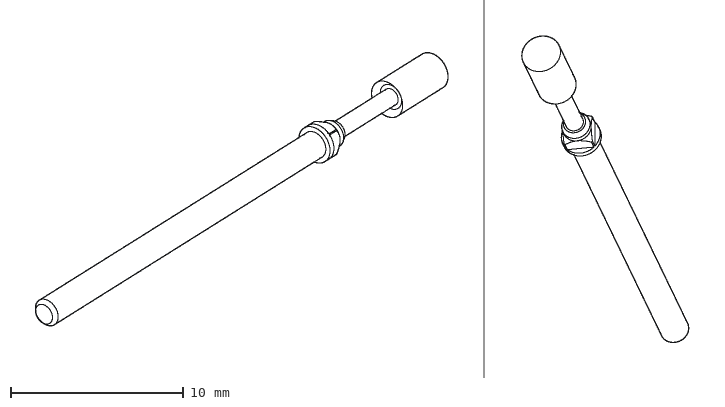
import cadquery as cq

total_length = 36.6

barrel_radius = 0.85
barrel_end = 25.47
tail_chamfer_length = 0.25
tail_chamfer_depth = 0.22
cap_joint = 3.05

flange_diameter = 2.3
flange_radius = flange_diameter / 2
flange_thickness = 0.35
flange_end = barrel_end + flange_thickness

square_width = 1.7
square_corner_radius = flange_radius
square_shoulder = 26.83
corner_taper_length = 0.33
collar_end = 27.52
nose_chamfer_length = 0.35
nose_chamfer_depth = 0.2

plunger_diameter = 1.05
plunger_radius = plunger_diameter / 2
head_radius = flange_radius
head_length = 4.3
head_start = total_length - head_length
countersink_depth = 0.35


def turned(start, end, radius):
    """Cylinder on the Y axis between two stations."""
    face = cq.Workplane("XZ", origin=(0, start, 0)).circle(radius)
    return face.extrude(start - end)


def revolved(profile):
    """Solid of revolution about Y from (radius, station) points."""
    outline = cq.Workplane("XY").polyline(profile).close()
    return outline.revolve(360, (0, 0, 0), (0, 1, 0))


def barrel():
    """Tail cap and tube of equal diameter, with a chamfered tail end."""
    cap = revolved([
        (0, 0),
        (barrel_radius - tail_chamfer_depth, 0),
        (barrel_radius, tail_chamfer_length),
        (barrel_radius, cap_joint),
        (0, cap_joint),
    ])
    return cap.union(turned(cap_joint, barrel_end, barrel_radius), clean=False)


def square_collar():
    """Square section with turned corners that taper down to a chamfered nose."""
    square_length = collar_end - flange_end
    block = cq.Workplane("XY").box(square_width, square_length, square_width)
    block = block.translate((0, flange_end + square_length / 2, 0))
    turned_limit = revolved([
        (0, flange_end),
        (square_corner_radius, flange_end),
        (square_corner_radius, square_shoulder - corner_taper_length),
        (barrel_radius, square_shoulder),
        (0, square_shoulder),
    ])
    nose = revolved([
        (0, square_shoulder),
        (barrel_radius, square_shoulder),
        (barrel_radius, collar_end - nose_chamfer_length),
        (barrel_radius - nose_chamfer_depth, collar_end),
        (0, collar_end),
    ])
    return block.intersect(turned_limit).union(nose)


def head():
    """Cylindrical head whose plunger side is countersunk from the rim."""
    floor = head_start + countersink_depth
    return revolved([
        (0, floor),
        (head_radius - countersink_depth, floor),
        (head_radius, head_start),
        (head_radius, total_length),
        (0, total_length),
    ])


flange = turned(barrel_end, flange_end, flange_radius)
plunger = turned(collar_end, head_start + countersink_depth, plunger_radius)

result = (
    barrel()
    .union(flange, clean=False)
    .union(square_collar(), clean=False)
    .union(plunger, clean=False)
    .union(head(), clean=False)
)